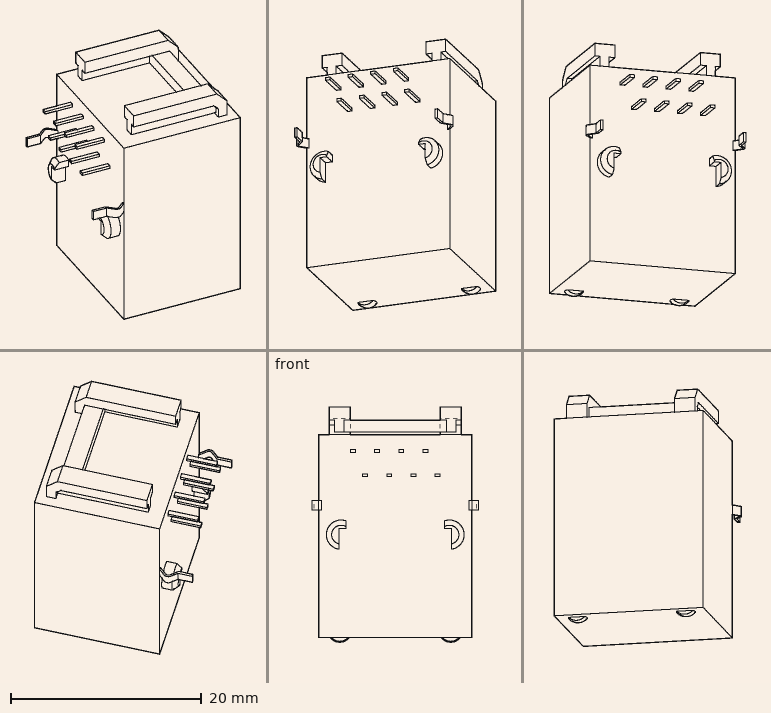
import cadquery as cq
import math


body_width = 16.06
body_depth = 13.6
body_height = 21.3

pipe_spacing = 11.64
pipe_width = 2.22
pipe_rise = 2.92
pipe_back_inset = 1.0
pipe_leg_depth = 1.03
pipe_length = 10.92
pipe_outer_chamfer = 1.2
pipe_inner_chamfer = 0.55
beam_bottom = 1.54
web_bottom = 0.26
web_spacing = 11.75
web_width = 1.01
bar_depth = 2.02

lens_radius = 1.28
lens_drop = 0.48
lens_back_offset = pipe_leg_depth / 2

pin_width = 0.5
pin_height = 0.3
pin_length = 3.22
pins_per_row = 4
pin_pitch = 2.54
pin_row_gap = 2.54
upper_row_drop = 1.72

post_spacing = 11.37
post_radius = 1.54
post_length = 1.65
post_chamfer = 0.55
post_drop = 10.49
post_inner_offset = 0.53
post_cut_offset = 0.22
post_step_height = 0.67

tab_height = 1.03
tab_drop = 7.4
tab_length = 3.56
tab_stock = 0.28
tab_reach = 0.722
tab_knee = 1.0
tab_angle = math.radians(42)

pipe_back = body_depth - pipe_back_inset
pipe_front = pipe_back - pipe_length
leg_front = pipe_back - pipe_leg_depth
pipe_top = body_height + pipe_rise
beam_z = body_height + beam_bottom
web_z = body_height + web_bottom


def block(x_min, x_max, y_min, y_max, z_min, z_max):
    """Box given by its limits along each axis."""
    size = (x_max - x_min, y_max - y_min, z_max - z_min)
    return cq.Workplane("XY").box(*size, centered=False).translate((x_min, y_min, z_min))


def make_light_pipe():
    """Left light pipe: a bent bar with a narrow web below it and a lens under the housing."""
    pipe_x = -pipe_spacing / 2
    bar = (
        cq.Workplane("YZ", origin=(pipe_x, 0, 0))
        .moveTo(pipe_back, body_height)
        .lineTo(pipe_back, pipe_top - pipe_outer_chamfer)
        .lineTo(pipe_back - pipe_outer_chamfer, pipe_top)
        .lineTo(pipe_front, pipe_top)
        .lineTo(pipe_front, beam_z)
        .lineTo(leg_front - pipe_inner_chamfer, beam_z)
        .lineTo(leg_front, beam_z - pipe_inner_chamfer)
        .lineTo(leg_front, body_height)
        .close()
        .extrude(pipe_width / 2, both=True)
    )
    web_x = -web_spacing / 2
    web = block(web_x - web_width / 2, web_x + web_width / 2, pipe_front, leg_front, web_z, beam_z)
    return bar.union(web).union(make_lens(pipe_x))


def make_lens(lens_x):
    """Slice of a sphere standing out below the housing in line with the pipe's leg."""
    sphere_center = (lens_x, pipe_back - lens_back_offset, lens_radius - lens_drop)
    sphere = cq.Workplane("XY").sphere(lens_radius).translate(sphere_center)
    slab = block(
        lens_x - lens_radius, lens_x + lens_radius, leg_front, pipe_back, -lens_drop, lens_drop
    )
    return sphere.intersect(slab)


def make_cross_bar():
    """Bar joining the webs of the two light pipes, clear of the housing top."""
    half_span = web_spacing / 2
    return block(-half_span, half_span, leg_front - bar_depth, leg_front, web_z, beam_z)


def make_pins():
    """Two rows of contact pins, the lower row shifted by half a pitch."""
    pins = cq.Workplane("XY")
    stagger = pin_pitch / 2
    for row in range(2):
        row_shift = (row - 0.5) * stagger
        z = body_height - upper_row_drop - row * pin_row_gap
        for index in range(pins_per_row):
            x = row_shift + (index - (pins_per_row - 1) / 2) * pin_pitch
            pins = pins.union(
                block(
                    x - pin_width / 2,
                    x + pin_width / 2,
                    -pin_length,
                    0,
                    z - pin_height / 2,
                    z + pin_height / 2,
                )
            )
    return pins


def make_post():
    """Right snap post: a chamfered round peg cut back on its inner side, leaving a top hook."""
    post_x = post_spacing / 2
    post_z = body_height - post_drop
    peg = (
        cq.Workplane("XZ", origin=(post_x, 0, post_z))
        .circle(post_radius)
        .extrude(post_length)
        .faces("<Y")
        .chamfer(post_chamfer)
    )
    x_outer = post_x + post_radius
    z_low = post_z - post_radius
    z_high = post_z + post_radius
    z_step = post_z + post_step_height
    kept_side = block(post_x + post_cut_offset, x_outer, -post_length, 0, z_low, z_high)
    kept_hook = block(post_x - post_inner_offset, x_outer, -post_length, 0, z_step, z_high)
    return peg.intersect(kept_side.union(kept_hook))


def make_spring_tab():
    """Left spring tab: a strip bowed outwards to a rounded knee, then running straight."""
    outer_x = -body_width / 2
    inner_x = outer_x + tab_stock
    thickness = tab_stock * math.cos(tab_angle)
    knee_overshoot = tab_knee * math.tan(tab_angle) - tab_reach
    outer_radius = knee_overshoot / (1 / math.cos(tab_angle) - 1)
    inner_radius = outer_radius - thickness
    center_x = outer_x - tab_reach + outer_radius

    def knee_points(radius):
        tangent_x = center_x - radius * math.cos(tab_angle)
        half_height = radius * math.sin(tab_angle)
        upper = (tangent_x, half_height - tab_knee)
        middle = (center_x - radius, -tab_knee)
        lower = (tangent_x, -half_height - tab_knee)
        return upper, middle, lower

    outer_start, outer_middle, outer_end = knee_points(outer_radius)
    inner_end, inner_middle, inner_start = knee_points(inner_radius)
    return (
        cq.Workplane("XY", origin=(0, 0, body_height - tab_drop))
        .moveTo(outer_x, 0)
        .lineTo(*outer_start)
        .threePointArc(outer_middle, outer_end)
        .lineTo(outer_x, -2 * tab_knee)
        .lineTo(outer_x, -tab_length)
        .lineTo(inner_x, -tab_length)
        .lineTo(inner_x, -2 * tab_knee)
        .lineTo(*inner_start)
        .threePointArc(inner_middle, inner_end)
        .lineTo(inner_x, 0)
        .close()
        .extrude(tab_height / 2, both=True)
    )


half_width = body_width / 2
housing = block(-half_width, half_width, 0, body_depth, 0, body_height)
result = housing.union(make_cross_bar()).union(make_pins())
for side_feature in (make_light_pipe(), make_post(), make_spring_tab()):
    result = result.union(side_feature).union(side_feature.mirror("YZ"))